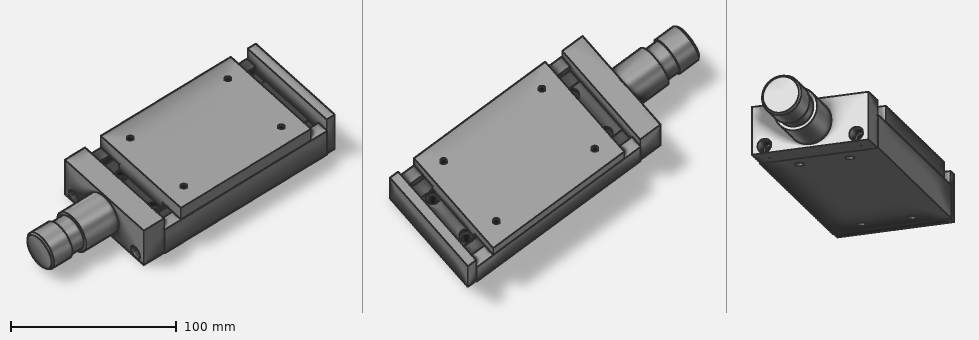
import cadquery as cq

base_width = 76.2
base_length = 127.0
base_height = 21.2
channel_width = 59.6
groove_floor = 8.0
platform_top = 16.2
platform_width = 41.0

table_length = 101.6
table_top = 31.8
table_gap = 0.5
table_hole_diameter = 4.2
table_hole_spacing_x = 50.8
table_hole_spacing_y = 76.2

rail_width = (channel_width - platform_width) / 2
rail_top = 15.2

mount_spacing_x = 32.5
mount_spacing_y = 107.8
mount_hole_diameter = 5.6
mount_bore_diameter = 8.8
mount_bore_depth = 4.0

end_width = 75.0
end_height = 30.8
front_thickness = 15.8
rear_thickness = 6.5
screw_spacing = 59.0
screw_height = 4.8
screw_hole_diameter = 5.8
screw_bore_diameter = 8.8
screw_bore_depth = 9.6

micrometer_height = 15.6
sleeve_diameter = 27.6
sleeve_length = 25.5
neck_diameter = 23.0
neck_length = 10.0
thimble_diameter = 25.5
thimble_length = 15.5
thimble_chamfer = 1.2

base_front = -base_length / 2
base_rear = base_length / 2
block_front = base_front - front_thickness
neck_start = block_front - sleeve_length
thimble_start = neck_start - neck_length


def box(width, length, bottom, top):
    """Box centred on X and Y that spans the heights bottom to top."""
    return (
        cq.Workplane("XY")
        .workplane(offset=bottom)
        .rect(width, length)
        .extrude(top - bottom)
    )


def make_base():
    body = box(base_width, base_length, 0, groove_floor)
    wall_width = (base_width - channel_width) / 2
    wall_centre = (base_width - wall_width) / 2
    for side in (-1, 1):
        wall = box(wall_width, base_length, groove_floor, base_height)
        body = body.union(wall.translate((side * wall_centre, 0, 0)))
    body = body.union(box(platform_width, base_length, groove_floor, platform_top))
    return (
        body.faces(cq.selectors.NearestToPointSelector((0, 0, platform_top)))
        .workplane(origin=(0, 0, platform_top))
        .rect(mount_spacing_x, mount_spacing_y, forConstruction=True)
        .vertices()
        .cboreHole(mount_hole_diameter, mount_bore_diameter, mount_bore_depth)
    )


def make_table():
    plate = box(base_width, table_length, base_height + table_gap, table_top)
    plate = (
        plate.faces(">Z")
        .workplane()
        .rect(table_hole_spacing_x, table_hole_spacing_y, forConstruction=True)
        .vertices()
        .hole(table_hole_diameter)
    )
    stem = box(platform_width, table_length, platform_top + table_gap, base_height + table_gap)
    return plate.union(stem)


def make_rail(side):
    """Rail in the groove on the +X (side = 1) or -X (side = -1) side of the base."""
    centre = side * (platform_width + rail_width) / 2
    return box(rail_width, base_length, groove_floor, rail_top).translate((centre, 0, 0))


def make_rear_plate():
    middle = base_rear + rear_thickness / 2
    return box(end_width, rear_thickness, 0, end_height).translate((0, middle, 0))


def make_front_block():
    middle = base_front - front_thickness / 2
    block = box(end_width, front_thickness, 0, end_height).translate((0, middle, 0))
    screw_places = [(side * screw_spacing / 2, screw_height) for side in (-1, 1)]
    return (
        block.faces("<Y")
        .workplane(origin=(0, 0, 0))
        .pushPoints(screw_places)
        .cboreHole(screw_hole_diameter, screw_bore_diameter, screw_bore_depth)
    )


def make_cylinder(diameter, start, length):
    """Cylinder on the micrometer axis that runs from Y = start towards -Y."""
    return (
        cq.Workplane("XZ", origin=(0, start, micrometer_height))
        .circle(diameter / 2)
        .extrude(length)
    )


base = make_base()
table = make_table()
rails = [make_rail(side) for side in (-1, 1)]
rear_plate = make_rear_plate()
front_block = make_front_block()
sleeve = make_cylinder(sleeve_diameter, block_front, sleeve_length)
neck = make_cylinder(neck_diameter, neck_start, neck_length)
thimble = make_cylinder(thimble_diameter, thimble_start, thimble_length)
thimble = thimble.faces("<Y").chamfer(thimble_chamfer)

result = cq.Compound.makeCompound([
    base.val(),
    table.val(),
    *[rail.val() for rail in rails],
    rear_plate.val(),
    front_block.val(),
    sleeve.val(),
    neck.val(),
    thimble.val(),
])